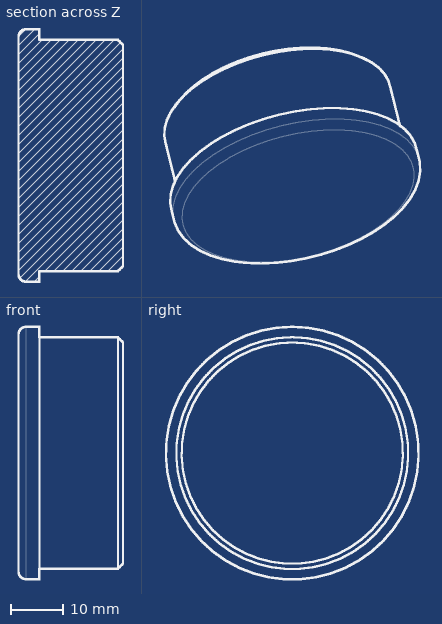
import cadquery as cq

head_diameter = 48.3
shank_diameter = 44.3
total_length = 20.0
head_thickness = 4.0
head_fillet = 1.5
tip_chamfer = 1.0

head_radius = head_diameter / 2
shank_radius = shank_diameter / 2

half_section = (
    cq.Workplane("XZ")
    .lineTo(0, head_radius - head_fillet)
    .radiusArc((head_fillet, head_radius), head_fillet)
    .lineTo(head_thickness, head_radius)
    .lineTo(head_thickness, shank_radius)
    .lineTo(total_length - tip_chamfer, shank_radius)
    .lineTo(total_length, shank_radius - tip_chamfer)
    .lineTo(total_length, 0)
    .close()
)

result = half_section.revolve(360, (0, 0, 0), (1, 0, 0))